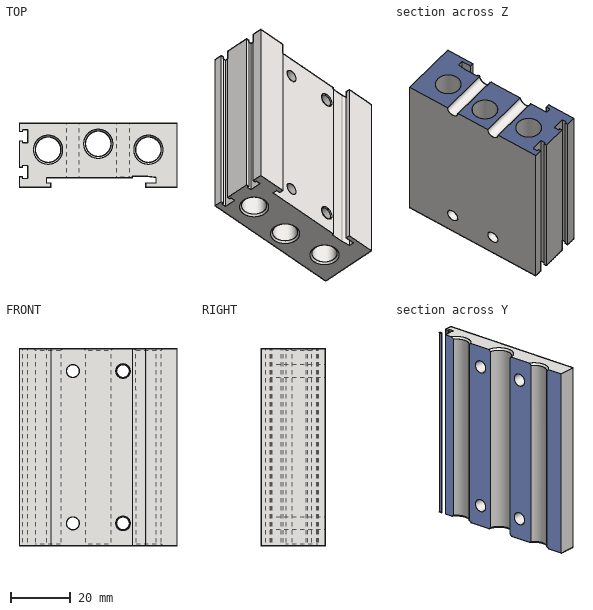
import cadquery as cq

length_x = 53.0
depth_y = 21.6
height_z = 66.3

bore_diameter = 8.5
bore_chamfer = 0.65
middle_bore_x = length_x / 2
bore_pitch = 16.85
outer_bore_y = 12.65
middle_bore_y = 14.65

slot_centers_y = (5.2, 17.2)
slot_neck_width = 3.05
slot_neck_depth = 1.05
slot_width = 4.3
slot_depth = 2.7

channel_left_x = 9.15
channel_right_x = 45.9
channel_depth = 3.2
mouth_left_x = 10.6
mouth_right_x = length_x - mouth_left_x
lip_thickness = 1.5

relief_left_x = 38.0
relief_slope_x = 42.55
relief_depth = 3.7
relief_end_depth = 3.3

hole_diameter = 4.25
plain_hole_x = 18.0
chamfered_hole_x = 34.8
hole_end_offset = 7.55
hole_chamfer = 0.3


def body():
    """Block with its lower left front corner at the origin."""
    return cq.Workplane("XY").box(length_x, depth_y, height_z, centered=False)


def t_slot(center_y):
    """Full-height T-slot opening on the -X side."""
    neck = cq.Workplane("XY").box(slot_depth, slot_neck_width, height_z, centered=(False, True, False))
    pocket = (
        cq.Workplane("XY")
        .box(slot_depth - slot_neck_depth, slot_width, height_z, centered=(False, True, False))
        .translate((slot_neck_depth, 0, 0))
    )
    return neck.union(pocket).translate((0, center_y, 0))


def channel():
    """Full-height undercut channel opening on the -Y side."""
    outline = [
        (mouth_left_x, 0),
        (mouth_left_x, lip_thickness),
        (channel_left_x, lip_thickness),
        (channel_left_x, channel_depth),
        (relief_left_x, channel_depth),
        (relief_left_x, relief_depth),
        (relief_slope_x, relief_depth),
        (channel_right_x, relief_end_depth),
        (channel_right_x, lip_thickness),
        (mouth_right_x, lip_thickness),
        (mouth_right_x, 0),
    ]
    return cq.Workplane("XY").polyline(outline).close().extrude(height_z)


def cone(base, direction, hole_size, chamfer):
    """45-degree chamfer cutter narrowing from a face into a hole."""
    radius = hole_size / 2
    return cq.Workplane(cq.Solid.makeCone(radius + chamfer, radius, chamfer, base, direction))


def bore(x, y):
    """Full-height bore with a chamfer at each end."""
    cutter = cq.Workplane("XY").center(x, y).circle(bore_diameter / 2).extrude(height_z)
    bottom = cone(cq.Vector(x, y, 0), cq.Vector(0, 0, 1), bore_diameter, bore_chamfer)
    top = cone(cq.Vector(x, y, height_z), cq.Vector(0, 0, -1), bore_diameter, bore_chamfer)
    return cutter.union(bottom).union(top)


def cross_hole(x, z):
    """Plain hole through the block along Y."""
    return cq.Workplane("XZ", origin=(x, 0, z)).circle(hole_diameter / 2).extrude(-depth_y)


result = body()

for slot_y in slot_centers_y:
    result = result.cut(t_slot(slot_y))

result = result.cut(channel())

result = result.cut(bore(middle_bore_x - bore_pitch, outer_bore_y))
result = result.cut(bore(middle_bore_x, middle_bore_y))
result = result.cut(bore(middle_bore_x + bore_pitch, outer_bore_y))

for hole_z in (hole_end_offset, height_z - hole_end_offset):
    for hole_x in (plain_hole_x, chamfered_hole_x):
        result = result.cut(cross_hole(hole_x, hole_z))
    channel_floor = cq.Vector(chamfered_hole_x, channel_depth, hole_z)
    result = result.cut(cone(channel_floor, cq.Vector(0, 1, 0), hole_diameter, hole_chamfer))